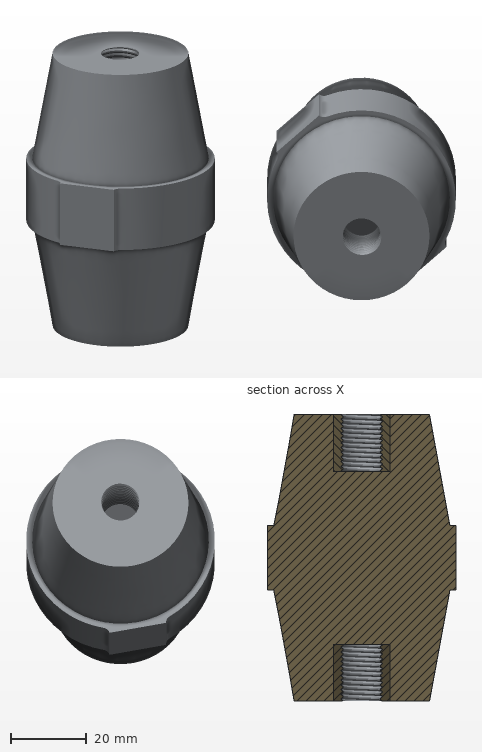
import cadquery as cq
import math

total_height = 76.0
half_height = total_height / 2

band_height = 17.2
band_radius = 25.0
pad_width = 15.2
pad_fillet = 2.0

end_radius = 18.0
shoulder_radius = 23.4

insert_radius = 7.4
insert_length = 15.0
thread_minor_radius = 4.95
thread_depth = 0.5
thread_pitch = 1.25
thread_crest = 0.4
thread_mouth_angle = -90.0
spare_turns = 2


def make_housing():
    """Barrel with a padded band around its middle and a blind recess in each end."""
    shoulder_z = band_height / 2
    barrel = (
        cq.Workplane("YZ")
        .moveTo(0, -half_height)
        .lineTo(end_radius, -half_height)
        .lineTo(shoulder_radius, -shoulder_z)
        .lineTo(shoulder_radius, shoulder_z)
        .lineTo(end_radius, half_height)
        .lineTo(0, half_height)
        .close()
        .revolve(360, (0, 0), (0, 1))
    )
    housing = barrel.union(make_band())
    for base_z in (half_height - insert_length, -half_height):
        recess = (
            cq.Workplane("XY", origin=(0, 0, base_z))
            .circle(insert_radius)
            .extrude(insert_length)
        )
        housing = housing.cut(recess)
    return housing


def make_band():
    """Round band whose pads on the Y sides flare into the round with concave fillets."""
    fillet_x = pad_width / 2 + pad_fillet
    fillet_y = math.sqrt((band_radius + pad_fillet) ** 2 - fillet_x**2)
    start_angle = math.pi + math.asin((fillet_y - band_radius) / pad_fillet)
    end_angle = math.pi + math.atan2(fillet_y, fillet_x)

    def fillet_point(angle, x_side, y_side):
        x = fillet_x + pad_fillet * math.cos(angle)
        y = fillet_y + pad_fillet * math.sin(angle)
        return (x_side * x, y_side * y)

    mid_angle = (start_angle + end_angle) / 2
    return (
        cq.Workplane("XY", origin=(0, 0, -band_height / 2))
        .moveTo(*fillet_point(start_angle, -1, 1))
        .lineTo(*fillet_point(start_angle, 1, 1))
        .threePointArc(fillet_point(mid_angle, 1, 1), fillet_point(end_angle, 1, 1))
        .threePointArc((band_radius, 0), fillet_point(end_angle, 1, -1))
        .threePointArc(fillet_point(mid_angle, 1, -1), fillet_point(start_angle, 1, -1))
        .lineTo(*fillet_point(start_angle, -1, -1))
        .threePointArc(fillet_point(mid_angle, -1, -1), fillet_point(end_angle, -1, -1))
        .threePointArc((-band_radius, 0), fillet_point(end_angle, -1, 1))
        .threePointArc(fillet_point(mid_angle, -1, 1), fillet_point(start_angle, -1, 1))
        .close()
        .extrude(band_height)
    )


def make_thread_faces():
    """Helical faces of a right-hand thread, running past both insert ends: two flanks and a crest."""
    turns = math.ceil(insert_length / thread_pitch) + 2 * spare_turns
    height = turns * thread_pitch
    start_z = half_height + (spare_turns - turns) * thread_pitch

    def helix(radius, z):
        wire = cq.Wire.makeHelix(thread_pitch, height, radius)
        turned = wire.rotate(cq.Vector(0, 0, 0), cq.Vector(0, 0, 1), thread_mouth_angle)
        return turned.translate(cq.Vector(0, 0, z)).Edges()[0]

    groove_bottom = helix(thread_minor_radius + thread_depth, start_z)
    half_mouth = (thread_pitch - thread_crest) / 2
    groove_lower_edge = helix(thread_minor_radius, start_z - half_mouth)
    groove_upper_edge = helix(thread_minor_radius, start_z + half_mouth)
    next_lower_edge = helix(thread_minor_radius, start_z - half_mouth + thread_pitch)
    return [
        cq.Face.makeRuledSurface(groove_lower_edge, groove_bottom),
        cq.Face.makeRuledSurface(groove_bottom, groove_upper_edge),
        cq.Face.makeRuledSurface(groove_upper_edge, next_lower_edge),
    ]


def make_insert():
    """Threaded sleeve in the top end of the housing: a rod with its screw-shaped core split off."""
    rod = (
        cq.Workplane("XY", origin=(0, 0, half_height - insert_length))
        .circle(insert_radius)
        .extrude(insert_length)
        .val()
    )
    pieces = rod.split(*make_thread_faces()).Solids()
    return max(pieces, key=lambda piece: piece.BoundingBox().xlen)


housing = make_housing()

top_insert = make_insert()
inserts = [
    top_insert.rotate(cq.Vector(0, 0, 0), cq.Vector(1, 0, 0), turn_angle) for turn_angle in (0, 180)
]

result = cq.Compound.makeCompound([housing.val(), *inserts])